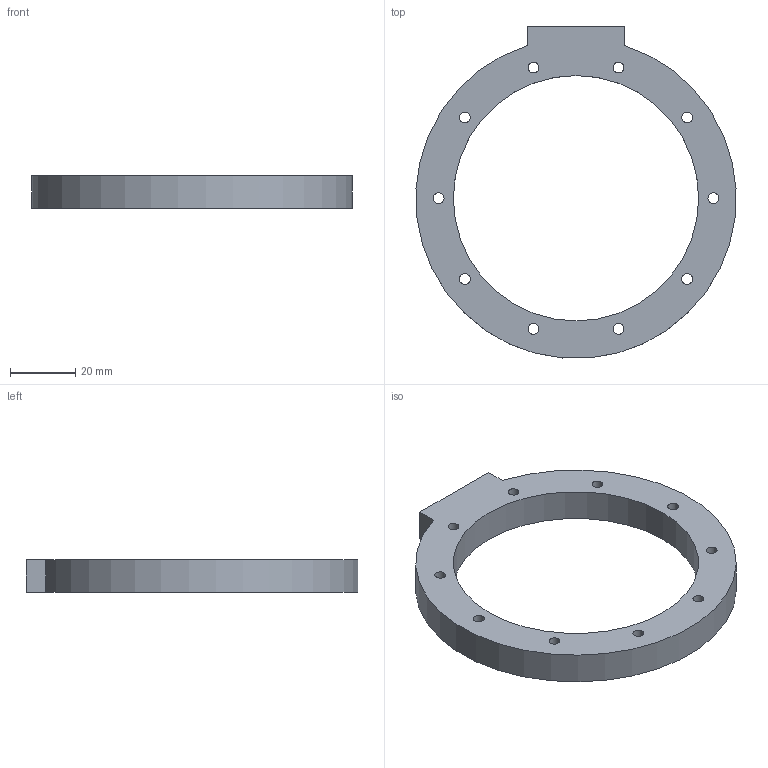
import cadquery as cq

outer_diameter = 98.0
inner_diameter = 75.0
thickness = 10.0

tab_width = 29.7
tab_reach = 52.65

hole_count = 10
hole_diameter = 3.3
bolt_circle_diameter = 84.0


def make_body():
    """Solid disc joined to the tab, which starts at the disc centre."""
    disc = cq.Workplane("XY").circle(outer_diameter / 2).extrude(thickness)
    tab = (
        cq.Workplane("XY")
        .rect(tab_width, tab_reach)
        .extrude(thickness)
        .translate((0, tab_reach / 2, 0))
    )
    return disc.union(tab)


def make_bore():
    """Cylinder that opens the centre of the ring."""
    return cq.Workplane("XY").circle(inner_diameter / 2).extrude(thickness)


def make_bolt_holes():
    """Cylinders for the through holes on the bolt circle."""
    return (
        cq.Workplane("XY")
        .polarArray(bolt_circle_diameter / 2, 0, 360, hole_count)
        .circle(hole_diameter / 2)
        .extrude(thickness)
    )


result = make_body().cut(make_bore()).cut(make_bolt_holes())